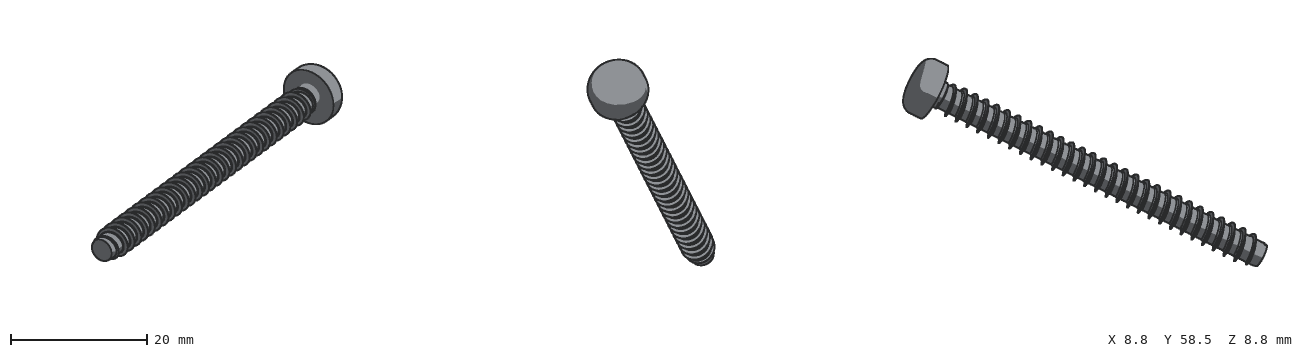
import cadquery as cq
import math


total_length = 58.49
head_diameter = 8.8
head_height = 3.49
crown_radius = 1.7
neck_diameter = 4.1
neck_fillet = 0.6
neck_end = 1.2
core_start = 1.35
core_diameter = 3.7
tip_diameter = 3.5
tip_taper_length = 0.6
tip_depth = total_length - head_height

thread_diameter = 5.0
pitch = 1.8
crest_phase = 0.1
crest_half_width = 0.05
flank_angle = 15.0
flare_height = 0.1
head_side_flare = 0.5
tip_side_flare = 0.32
root_sink = 0.06
points_per_segment = 16

fade_in_start = 0.95
fade_in_end = 3.35
fade_out_start = 52.3
fade_out_end = 54.55
fade_in_radius = 2.03
fade_out_radius = 1.84

head_radius = head_diameter / 2
neck_radius = neck_diameter / 2
core_radius = core_diameter / 2
tip_radius = tip_diameter / 2
thread_radius = thread_diameter / 2


def make_blank():
    """Head, neck and core, revolved about the Y axis."""
    crown_flat = head_radius - crown_radius
    arc_45 = crown_radius * math.sqrt(0.5)
    crown_mid = (crown_flat + arc_45, head_height - crown_radius + arc_45)
    fillet_mid_offset = neck_fillet * (1 - math.sqrt(0.5))
    profile = (
        cq.Workplane("XY")
        .moveTo(0, head_height)
        .lineTo(crown_flat, head_height)
        .threePointArc(crown_mid, (head_radius, head_height - crown_radius))
        .lineTo(head_radius, 0)
        .lineTo(neck_radius + neck_fillet, 0)
        .threePointArc(
            (neck_radius + fillet_mid_offset, -fillet_mid_offset),
            (neck_radius, -neck_fillet),
        )
        .lineTo(neck_radius, -neck_end)
        .lineTo(core_radius, -core_start)
        .lineTo(core_radius, tip_taper_length - tip_depth)
        .lineTo(tip_radius, -tip_depth)
        .lineTo(0, -tip_depth)
        .close()
    )
    return profile.revolve(360, (0, 0, 0), (0, 1, 0))


def crest_radius(depth):
    """Crest radius at a depth, with linear fades at both ends of the thread."""
    if depth < fade_in_end:
        part = (depth - fade_in_start) / (fade_in_end - fade_in_start)
        return fade_in_radius + part * (thread_radius - fade_in_radius)
    if depth > fade_out_start:
        part = (fade_out_end - depth) / (fade_out_end - fade_out_start)
        return fade_out_radius + part * (thread_radius - fade_out_radius)
    return thread_radius


def thread_section(depth):
    """Corners of the thread profile at a depth, as (radius, shift along the axis) pairs."""
    base_radius = core_radius - root_sink
    full_height = thread_radius - core_radius
    flank_half_width = crest_half_width + (full_height - flare_height) * math.tan(math.radians(flank_angle))
    sink_share = root_sink / flare_height
    head_side_base = head_side_flare + (head_side_flare - flank_half_width) * sink_share
    tip_side_base = tip_side_flare + (tip_side_flare - flank_half_width) * sink_share
    crest = crest_radius(depth)
    height_share = (crest - base_radius) / (thread_radius - base_radius)
    flare_radius = base_radius + (flare_height + root_sink) * height_share
    return [
        (base_radius, -head_side_base),
        (flare_radius, -flank_half_width),
        (crest, -crest_half_width),
        (crest, crest_half_width),
        (flare_radius, flank_half_width),
        (base_radius, tip_side_base),
    ]


def helix_point(depth, radius, shift):
    """Point on the right-handed helix that crosses the +Z side at the crest phase."""
    angle = 2 * math.pi * (depth - crest_phase) / pitch
    return cq.Vector(-radius * math.sin(angle), -(depth + shift), radius * math.cos(angle))


def thread_segment(start_depth, end_depth):
    """Solid piece of the thread ridge, with ruled faces between the helical edges of its profile."""
    step = (end_depth - start_depth) / points_per_segment
    sections = []
    for i in range(points_per_segment + 1):
        depth = start_depth + i * step
        sections.append([helix_point(depth, *corner) for corner in thread_section(depth)])
    edges = [cq.Edge.makeSpline(list(track)) for track in zip(*sections)]
    faces = [cq.Face.makeRuledSurface(edge, edges[i - 1]) for i, edge in enumerate(edges)]
    for end_section in (sections[0], sections[-1]):
        faces.append(cq.Face.makeFromWires(cq.Wire.makePolygon(end_section, close=True)))
    return cq.Solid.makeSolid(cq.Shell.makeShell(faces))


def make_thread_segments():
    """Thread ridge in pieces of about one turn, which keeps the union with the core reliable."""
    segment_count = math.ceil((fade_out_end - fade_in_start) / pitch)
    segment_length = (fade_out_end - fade_in_start) / segment_count
    starts = [fade_in_start + i * segment_length for i in range(segment_count)]
    return [thread_segment(start, start + segment_length) for start in starts]


result = cq.Workplane(make_blank().val().fuse(*make_thread_segments()).Solids()[0])